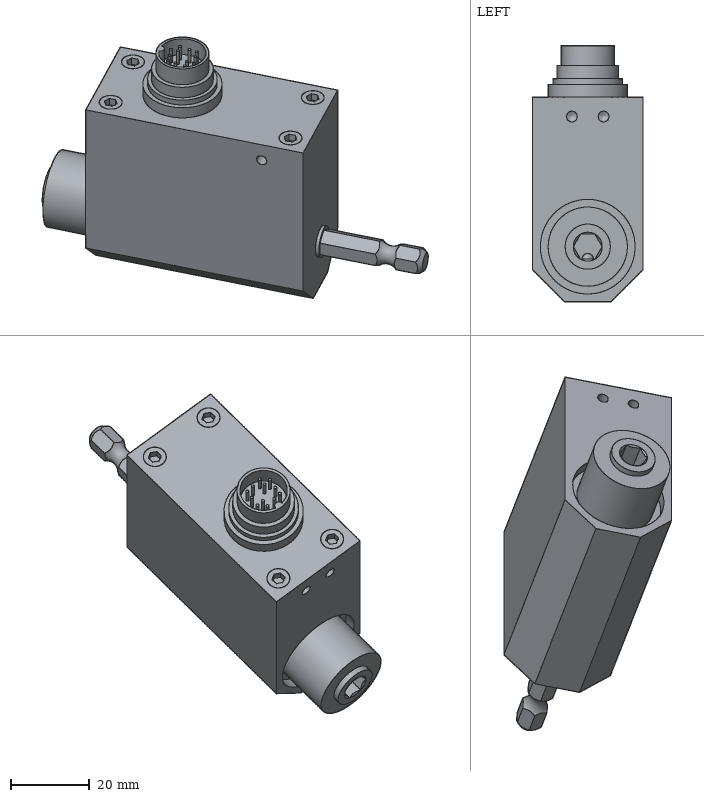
import cadquery as cq
import math

TOTAL_LENGTH = 100.5

HOUSING_LENGTH = 58.1
HOUSING_WIDTH = 28.0
HOUSING_HEIGHT = 52.0
HOUSING_CHAMFER = 8.1
AXIS_HEIGHT = HOUSING_WIDTH / 2

HEX_CORNERS = 7.3

BUSHING_DIAMETER = 20.1
BUSHING_LENGTH = 12.8
NOSE_DIAMETER = 11.5
NOSE_LENGTH = 1.6
RECESS_DIAMETER = 24.0
RECESS_DEPTH = 3.0
SOCKET_DEPTH = 10.1
SOCKET_LEAD_IN = 0.4
BALL_DIAMETER = 2.9
BALL_DEPTH = 5.0
SOCKET_FACE_X = -(BUSHING_LENGTH + NOSE_LENGTH)

SHANK_LENGTH = TOTAL_LENGTH + SOCKET_FACE_X - HOUSING_LENGTH
COLLAR_DIAMETER = 8.1
COLLAR_LENGTH = 0.9
NECK_DIAMETER = 4.7
NECK_WIDTH = 5.5
NECK_POSITION = 18.5
TIP_DIAMETER = 4.7
TIP_LENGTH = 1.6

CONNECTOR_STEPS = [(20.1, 3.2), (17.7, 1.5), (15.7, 3.3), (13.5, 5.0)]
CONNECTOR_X = 21.2
CONNECTOR_HEIGHT = sum(height for _, height in CONNECTOR_STEPS)
CONNECTOR_TOP = HOUSING_HEIGHT + CONNECTOR_HEIGHT
CUP_DIAMETER = 12.0
CUP_DEPTH = 5.0
KEY_RADIUS = 1.1
PIN_DIAMETER = 0.76
PIN_DROP = 1.0
HALF_PINS = [(3.3, 14), (4.1, 45), (3.3, 76), (4.1, 117), (2.5, 135), (4.1, 153)]

SCREW_INSET = 5.0
SCREW_HEAD_DIAMETER = 5.7
SCREW_HOLE_DIAMETER = 5.8
SCREW_HEAD_HEIGHT = 3.0
SCREW_HEX_CORNERS = 3.3
SCREW_HEX_DEPTH = 2.0

BLIND_DIAMETER = 2.7
BLIND_DEPTH = 4.0
BLIND_DROP = 4.9
END_HOLE_SPACING = 8.0
SIDE_HOLE_INSET = 11.1
DRILL_POINT_ANGLE = 118.0


def across_axis(x):
    """Workplane facing +X on the drive axis; local X is part Y, local Y is part Z."""
    return cq.Workplane("YZ", origin=(x, 0, AXIS_HEIGHT))


def disc(x, diameter, length):
    return across_axis(x).circle(diameter / 2).extrude(length)


def make_housing():
    body = cq.Workplane("XY").box(
        HOUSING_LENGTH, HOUSING_WIDTH, HOUSING_HEIGHT, centered=(False, True, False)
    )
    return body.edges("|X and <Z").chamfer(HOUSING_CHAMFER)


def make_bushing():
    body = disc(-BUSHING_LENGTH, BUSHING_DIAMETER, BUSHING_LENGTH + RECESS_DEPTH)
    return body.union(disc(SOCKET_FACE_X, NOSE_DIAMETER, NOSE_LENGTH))


def make_socket():
    """Hexagonal drive cavity with a conical lead-in and a detent ball left standing in its lower flat."""
    cavity = across_axis(SOCKET_FACE_X).polygon(6, HEX_CORNERS).extrude(SOCKET_DEPTH)
    flat_distance = HEX_CORNERS / 2 * math.cos(math.pi / 6)
    lead_in = (
        across_axis(SOCKET_FACE_X)
        .circle(HEX_CORNERS / 2)
        .workplane(offset=SOCKET_LEAD_IN)
        .circle(flat_distance)
        .loft()
    )
    ball_center = (SOCKET_FACE_X + BALL_DEPTH, 0, AXIS_HEIGHT - flat_distance)
    ball = cq.Workplane("XY").sphere(BALL_DIAMETER / 2).translate(ball_center)
    return cavity.union(lead_in).cut(ball)


def make_shank():
    """Hexagonal bit shank, trimmed by a turned profile that forms the neck and the tapered tip."""
    hex_bar = across_axis(HOUSING_LENGTH).polygon(6, HEX_CORNERS).extrude(SHANK_LENGTH)
    hex_bar = hex_bar.rotate((0, 0, AXIS_HEIGHT), (1, 0, AXIS_HEIGHT), 90)
    rim = HEX_CORNERS / 2
    turned = (
        cq.Workplane("XZ", origin=(HOUSING_LENGTH, 0, AXIS_HEIGHT))
        .lineTo(0, rim)
        .lineTo(NECK_POSITION - NECK_WIDTH / 2, rim)
        .threePointArc((NECK_POSITION, NECK_DIAMETER / 2), (NECK_POSITION + NECK_WIDTH / 2, rim))
        .lineTo(SHANK_LENGTH - TIP_LENGTH, rim)
        .lineTo(SHANK_LENGTH, TIP_DIAMETER / 2)
        .lineTo(SHANK_LENGTH, 0)
        .close()
        .revolve(360, (0, 0, 0), (1, 0, 0))
    )
    return hex_bar.intersect(turned).union(disc(HOUSING_LENGTH, COLLAR_DIAMETER, COLLAR_LENGTH))


def make_connector():
    shell = cq.Workplane("XY", origin=(CONNECTOR_X, 0, HOUSING_HEIGHT))
    for diameter, height in CONNECTOR_STEPS:
        shell = shell.circle(diameter / 2).extrude(height).faces(">Z").workplane()
    cup_floor = cq.Workplane("XY", origin=(CONNECTOR_X, 0, CONNECTOR_TOP - CUP_DEPTH))
    cup = cup_floor.circle(CUP_DIAMETER / 2).extrude(CUP_DEPTH)
    key = cup_floor.center(-CUP_DIAMETER / 2, 0).circle(KEY_RADIUS).extrude(CUP_DEPTH)
    pin_points = [
        (radius * math.cos(math.radians(angle + turn)), radius * math.sin(math.radians(angle + turn)))
        for turn in (0, 180)
        for radius, angle in HALF_PINS
    ]
    pins = cup_floor.pushPoints(pin_points).circle(PIN_DIAMETER / 2).extrude(CUP_DEPTH - PIN_DROP)
    return shell.cut(cup.cut(key).cut(pins))


def make_screw_cuts():
    """Clearance ring and hexagon recess of each lid screw, whose head sits flush with the lid."""
    lid = cq.Workplane("XY", origin=(HOUSING_LENGTH / 2, 0, HOUSING_HEIGHT)).rarray(
        HOUSING_LENGTH - 2 * SCREW_INSET, HOUSING_WIDTH - 2 * SCREW_INSET, 2, 2
    )
    holes = lid.circle(SCREW_HOLE_DIAMETER / 2).extrude(-SCREW_HEAD_HEIGHT)
    heads = lid.circle(SCREW_HEAD_DIAMETER / 2).extrude(-SCREW_HEAD_HEIGHT)
    recesses = lid.polygon(6, SCREW_HEX_CORNERS).extrude(-SCREW_HEX_DEPTH)
    return holes.cut(heads).union(recesses)


def make_blind_hole(mouth, direction):
    """Drilled hole with a conical bottom."""
    radius = BLIND_DIAMETER / 2
    point_length = radius / math.tan(math.radians(DRILL_POINT_ANGLE / 2))
    start = cq.Vector(*mouth)
    heading = cq.Vector(*direction)
    bore = cq.Solid.makeCylinder(radius, BLIND_DEPTH, start, heading)
    point = cq.Solid.makeCone(radius, 0, point_length, start + heading * BLIND_DEPTH, heading)
    return cq.Workplane(obj=bore.fuse(point))


result = make_housing().cut(disc(0, RECESS_DIAMETER, RECESS_DEPTH))
result = result.union(make_bushing()).cut(make_socket())
result = result.union(make_shank()).union(make_connector()).cut(make_screw_cuts())

blind_height = HOUSING_HEIGHT - BLIND_DROP
for side in (-1, 1):
    result = result.cut(make_blind_hole((0, side * END_HOLE_SPACING / 2, blind_height), (1, 0, 0)))
side_hole_mouth = (HOUSING_LENGTH - SIDE_HOLE_INSET, -HOUSING_WIDTH / 2, blind_height)
result = result.cut(make_blind_hole(side_hole_mouth, (0, 1, 0)))